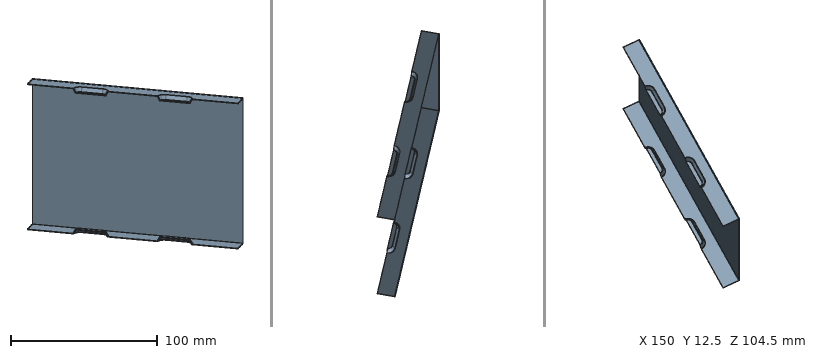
import cadquery as cq

LENGTH = 150.0
DEPTH = 12.5
HEIGHT = 104.5
SHEET = 0.5

DIMPLE_POSITIONS = (-30.0, 30.0)
DIMPLE_STRAIGHT = 15.0
DIMPLE_RADIUS = 4.5
DIMPLE_DEPTH = 3.0
WALL_SLOPE = 30.0

FREE_EDGE_Y = -DEPTH / 2
TOP_Z = HEIGHT / 2


def make_channel():
    body = cq.Workplane("XY").box(LENGTH, DEPTH, HEIGHT)
    hollow = (
        cq.Workplane("XY")
        .box(LENGTH, DEPTH, HEIGHT - 2 * SHEET)
        .translate((0, -SHEET, 0))
    )
    return body.cut(hollow)


def tapered_slot(x, top_z, radius, depth):
    """Slot centred on the free edge, narrowing downward from top_z."""
    return (
        cq.Workplane("XY", origin=(x, FREE_EDGE_Y, top_z))
        .slot2D(DIMPLE_STRAIGHT + 2 * radius, 2 * radius)
        .extrude(-depth, taper=WALL_SLOPE)
    )


def dimple_cavity(x):
    return tapered_slot(x, TOP_Z, DIMPLE_RADIUS, DIMPLE_DEPTH)


def dimple_shell(x):
    """Half-slot block that leaves the dimple wall and floor once hollowed."""
    radius = DIMPLE_RADIUS + SHEET
    block = tapered_slot(x, TOP_Z - SHEET, radius, DIMPLE_DEPTH)
    inside_edge = cq.Workplane("XY").box(LENGTH, DEPTH, HEIGHT)
    return block.intersect(inside_edge)


def add_dimples(part):
    for x in DIMPLE_POSITIONS:
        for flip in (False, True):
            shell = dimple_shell(x)
            cavity = dimple_cavity(x)
            if flip:
                shell = shell.mirror("XY")
                cavity = cavity.mirror("XY")
            part = part.union(shell).cut(cavity)
    return part


result = add_dimples(make_channel())